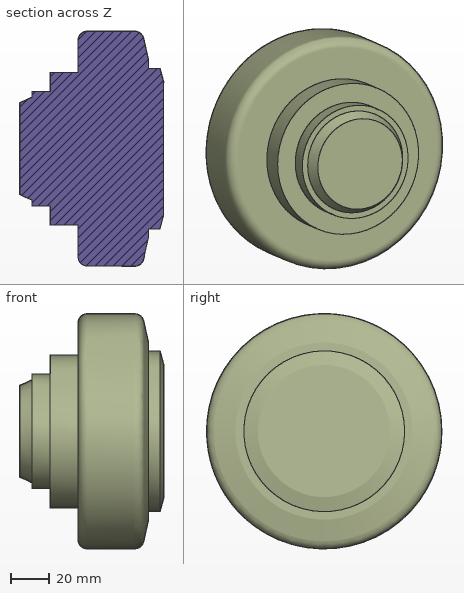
import cadquery as cq
import math


NOSE_TIP_RADIUS = 24.0
NOSE_BASE_RADIUS = 27.0
JOURNAL_RADIUS = 30.0
SHOULDER_RADIUS = 40.0
RIM_RADIUS = 61.5
RIM_FACE_RADIUS = 46.3
END_DISC_RADIUS = 42.0
RIM_ROUND = 5.0

NOSE_LENGTH = 6.5
JOURNAL_LENGTH = 9.5
SHOULDER_LENGTH = 14.5
RIM_WIDTH = 37.0
END_DISC_LENGTH = 8.0
END_CHAMFER_LENGTH = 2.0

RIM_TAPER_ANGLE = 12.7
END_CHAMFER_ANGLE = 15.0

journal_start = NOSE_LENGTH
shoulder_start = journal_start + JOURNAL_LENGTH
rim_start = shoulder_start + SHOULDER_LENGTH
rim_end = rim_start + RIM_WIDTH
part_end = rim_end + END_DISC_LENGTH


def cone_between(start_x, start_radius, end_x, end_radius):
    """Solid cone frustum (or cylinder) about the X axis."""
    outline = [(start_x, 0), (start_x, start_radius), (end_x, end_radius), (end_x, 0)]
    return cq.Workplane("XY").polyline(outline).close().revolve(360, (0, 0, 0), (1, 0, 0))


def stepped_stub():
    """Tapered nose, journal and shoulder in front of the rim."""
    nose = cone_between(0, NOSE_TIP_RADIUS, journal_start, NOSE_BASE_RADIUS)
    journal = cone_between(journal_start, JOURNAL_RADIUS, shoulder_start, JOURNAL_RADIUS)
    shoulder = cone_between(shoulder_start, SHOULDER_RADIUS, rim_start, SHOULDER_RADIUS)
    return nose.union(journal).union(shoulder)


def rim():
    """Large wheel with a tapered rear face and both outer corners rounded."""
    taper_length = (RIM_RADIUS - RIM_FACE_RADIUS) * math.tan(math.radians(RIM_TAPER_ANGLE))
    taper_start = rim_end - taper_length
    tread = cone_between(rim_start, RIM_RADIUS, taper_start, RIM_RADIUS)
    taper = cone_between(taper_start, RIM_RADIUS, rim_end, RIM_FACE_RADIUS)
    wheel = tread.union(taper)
    corner_finder = cq.selectors.RadiusNthSelector(-1)
    return wheel.edges("%CIRCLE").edges(corner_finder).fillet(RIM_ROUND)


def end_disc():
    """Disc behind the rim, with a shallow chamfer around its outer face."""
    chamfer_start = part_end - END_CHAMFER_LENGTH
    end_radius = END_DISC_RADIUS - END_CHAMFER_LENGTH / math.tan(math.radians(END_CHAMFER_ANGLE))
    disc = cone_between(rim_end, END_DISC_RADIUS, chamfer_start, END_DISC_RADIUS)
    chamfer = cone_between(chamfer_start, END_DISC_RADIUS, part_end, end_radius)
    return disc.union(chamfer)


result = stepped_stub().union(rim()).union(end_disc())